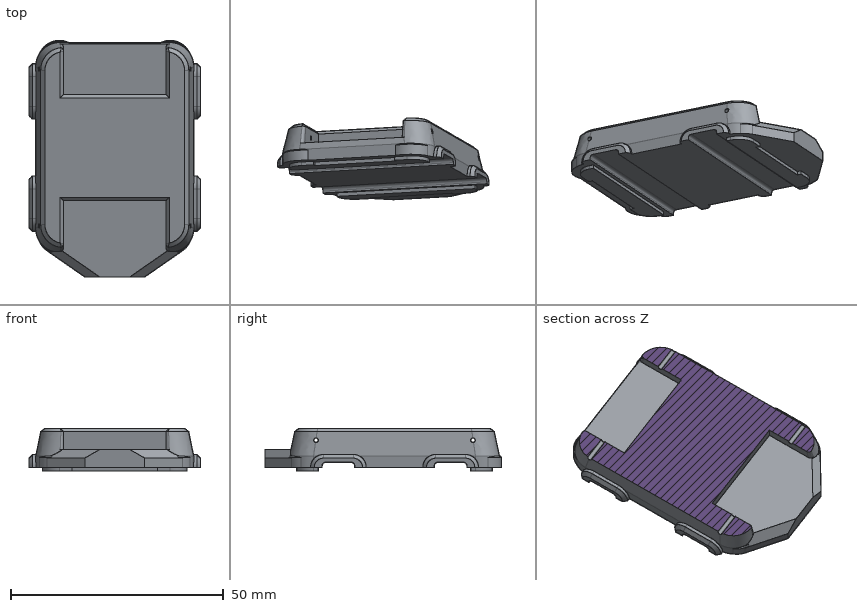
import cadquery as cq
import math

body_half_x = 18.6
body_half_y = 24.7
corner_radius = 5.65
skirt_height = 2.7
body_height = 9.25
wall_lean = 1.35
edge_chamfer = 0.8
edge_corner_radius = 5.3
edge_z = body_height - edge_chamfer

pocket_half_width = 12.03
pocket_inner_y = 12.5
floor_height = 4.28
mouth_radius = 0.85

lobe_x = 13.0
lobe_y = 20.06
lobe_radius = 5.14
lobe_chamfer = 0.3

nose_y = -30.49
nose_half_width = 7.0
nose_chamfer = 2.0

arch_spacing_y = 26.4
arch_length = 13.1
arch_height = 3.1
arch_corner_radius = 3.05
arch_outer_x = 20.2
arch_chamfer = 0.87
slot_width = 7.6
slot_height = 1.24
slot_corner_radius = 0.81

pin_diameter = 1.0
pin_y = 18.45
pin_z = 6.46

foot_height = 0.85
foot_half_x = 17.0
foot_outer_y = 23.0
foot_inner_y = 17.9
foot_corner_radius = 4.0
foot_recess_half_x = 10.0
foot_recess_depth = 1.0


def wall_offset(z):
    """How far the leaning walls stand inside the skirt at height z."""
    return wall_lean * (z - skirt_height) / (body_height - skirt_height)


def body_outline(inset, radius):
    half_x = body_half_x - inset
    half_y = body_half_y - inset
    return cq.Sketch().rect(2 * half_x, 2 * half_y).vertices().fillet(radius)


def loft_between(lower, lower_z, upper, upper_z):
    raised = upper.moved(cq.Location(cq.Vector(0, 0, upper_z - lower_z)))
    return cq.Workplane("XY", origin=(0, 0, lower_z)).placeSketch(lower, raised).loft(ruled=True)


def make_skirt():
    return cq.Workplane("XY").placeSketch(body_outline(0, corner_radius)).extrude(skirt_height)


def make_walls():
    """Leaning walls up to the roof edge, then the bevel up to the roof."""
    foot = body_outline(0, corner_radius)
    edge = body_outline(wall_offset(edge_z), edge_corner_radius)
    roof = body_outline(wall_offset(body_height) + edge_chamfer, edge_corner_radius - edge_chamfer)
    walls = loft_between(foot, skirt_height, edge, edge_z)
    return walls.union(loft_between(edge, edge_z, roof, body_height))


def pocket_outline(end, z, growth):
    """Pocket section at height z, grown outwards, with its mouth rounded into the end wall."""
    radius = mouth_radius - growth
    side_x = pocket_half_width + growth
    mouth_x = side_x + radius
    inner_y = pocket_inner_y - growth
    wall_y = body_half_y - wall_offset(z) - growth
    round_y = wall_y - radius
    beyond_y = body_half_y + mouth_radius
    mid_x = mouth_x - radius * math.cos(math.pi / 4)
    mid_y = round_y + radius * math.sin(math.pi / 4)
    return (
        cq.Workplane("XY", origin=(0, 0, z))
        .moveTo(-side_x, end * inner_y)
        .lineTo(side_x, end * inner_y)
        .lineTo(side_x, end * round_y)
        .threePointArc((mid_x, end * mid_y), (mouth_x, end * wall_y))
        .lineTo(mouth_x, end * beyond_y)
        .lineTo(-mouth_x, end * beyond_y)
        .lineTo(-mouth_x, end * wall_y)
        .threePointArc((-mid_x, end * mid_y), (-side_x, end * round_y))
        .close()
        .wire()
        .val()
    )


def make_pocket(end):
    """Pocket out through an end wall, with a bevelled rim; end is +1 or -1 along Y."""
    floor = pocket_outline(end, floor_height, 0)
    rim_start = pocket_outline(end, edge_z, 0)
    rim = pocket_outline(end, body_height, edge_chamfer)
    recess = cq.Workplane(cq.Solid.makeLoft([floor, rim_start], True))
    return recess.union(cq.Workplane(cq.Solid.makeLoft([rim_start, rim], True)))


def make_upper_body():
    """Leaning walls with a bevelled roof edge and both pockets cut."""
    upper = make_walls()
    for end in (1, -1):
        upper = upper.cut(make_pocket(end))
    return upper


def make_lobe(side, end):
    return (
        cq.Workplane("XY", origin=(side * lobe_x, end * lobe_y, 0))
        .circle(lobe_radius)
        .extrude(skirt_height)
        .faces(">Z")
        .chamfer(lobe_chamfer)
    )


def make_nose():
    """Pointed plate, tangent to the front lobes, with both slanted edges bevelled."""
    dx = lobe_x - nose_half_width
    dy = -lobe_y - nose_y
    slant = math.atan2(dy, dx) - math.asin(lobe_radius / math.hypot(dx, dy))
    tangent_x = lobe_x + lobe_radius * math.sin(slant)
    tangent_y = -lobe_y - lobe_radius * math.cos(slant)
    outline = [
        (tangent_x, tangent_y),
        (nose_half_width, nose_y),
        (-nose_half_width, nose_y),
        (-tangent_x, tangent_y),
        (-lobe_x, -lobe_y),
        (lobe_x, -lobe_y),
    ]
    plate = cq.Workplane("XY").polyline(outline).close().extrude(floor_height)
    middle_y = (tangent_y + nose_y) / 2
    middle_x = (tangent_x + nose_half_width) / 2
    for side in (1, -1):
        slanted_edge = cq.selectors.NearestToPointSelector((side * middle_x, middle_y, floor_height))
        plate = plate.edges(slanted_edge).chamfer(nose_chamfer)
    return plate


def make_arch(end):
    """Pair of wheel arches standing out of both long sides; the outer rims are bevelled."""
    return (
        cq.Workplane("XY", origin=(0, end * arch_spacing_y / 2, 0))
        .rect(2 * arch_outer_x, arch_length)
        .extrude(arch_height)
        .edges("|X and >Z")
        .fillet(arch_corner_radius)
        .faces("<X or >X")
        .edges("not <Z")
        .chamfer(arch_chamfer)
    )


def make_axle_slot(end):
    return (
        cq.Workplane("XY", origin=(0, end * arch_spacing_y / 2, 0))
        .rect(2 * arch_outer_x, slot_width)
        .extrude(slot_height)
        .edges("|X and >Z")
        .fillet(slot_corner_radius)
    )


def make_pin_hole(end):
    return (
        cq.Workplane("YZ", origin=(-arch_outer_x, end * pin_y, pin_z))
        .circle(pin_diameter / 2)
        .extrude(2 * arch_outer_x)
    )


def make_foot(end):
    depth_y = foot_outer_y - foot_inner_y
    outer_face = ">Y" if end > 0 else "<Y"
    bar = (
        cq.Workplane("XY", origin=(0, end * (foot_outer_y + foot_inner_y) / 2, -foot_height))
        .rect(2 * foot_half_x, depth_y)
        .extrude(foot_height)
        .edges("|Z")
        .edges(outer_face)
        .fillet(foot_corner_radius)
    )
    recess = (
        cq.Workplane("XY", origin=(0, end * foot_outer_y, -foot_height))
        .rect(2 * foot_recess_half_x, 2 * foot_recess_depth)
        .extrude(foot_height)
    )
    return bar.cut(recess)


result = make_skirt().union(make_upper_body()).union(make_nose())
for end in (1, -1):
    for side in (1, -1):
        result = result.union(make_lobe(side, end))
    result = result.union(make_arch(end)).union(make_foot(end))
for end in (1, -1):
    result = result.cut(make_axle_slot(end)).cut(make_pin_hole(end))